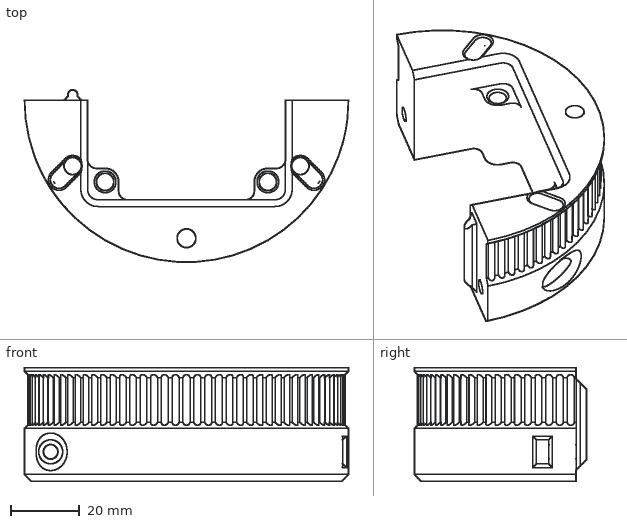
import cadquery as cq
import math

outer_radius = 47.0
height = 33.0

base_chamfer = 2.0
base_top = 15.3
lip_thickness = 1.1
groove_depth = 1.8
root_radius = outer_radius - groove_depth

tooth_count = 90
tooth_radius = 1.0
tooth_projection = 0.8
tooth_pitch = 360 / tooth_count

channel_half_width = 28.7
channel_floor_y = -28.9
channel_corner_radius = 3.0
channel_chamfer = 2.0

tab_x = 23.6
tab_y = -23.7
tab_top = 23.0
tab_radius = 3.95
tab_hole_diameter = 5.0
tab_hole_chamfer = 0.7
tab_fillet = 2.5
tab_overlap = 1.9

web_hole_diameter = 5.4
web_hole_y = -40.0

slot_width = 5.0
slot_inner_x = 33.0
slot_inner_y = -19.1
slot_run = 5.6
slot_drop = slot_run
slot_chamfer = 0.6

screw_x = 39.4
screw_z = 8.6
screw_diameter = 4.1
screw_head_diameter = 7.0
screw_head_floor_y = -13.2
screw_head_chamfer = 2.0
nut_y = -9.8
nut_thickness = 3.7
nut_width = 7.05
nut_chamfer = 1.0

ridge_x = -slot_inner_x
ridge_tip_y = 3.0
ridge_tip_radius = 1.4
ridge_flare = 1.1
ridge_base_bottom = 3.3
ridge_base_top = 29.7
ridge_end_slope = ridge_tip_y


def pulley_body():
    """Half of a toothed disc, trimmed flat at the split face."""
    lip_bottom = height - lip_thickness
    profile = [
        (0, 0),
        (outer_radius - base_chamfer, 0),
        (outer_radius, base_chamfer),
        (outer_radius, base_top),
        (root_radius, base_top + groove_depth),
        (root_radius, lip_bottom - groove_depth),
        (outer_radius, lip_bottom),
        (outer_radius, height),
        (0, height),
    ]
    disc = cq.Workplane("XZ").polyline(profile).close().revolve(360, (0, 0, 0), (0, 1, 0))
    first_tooth = 180 + tooth_pitch / 2
    last_tooth = 360 - tooth_pitch / 2
    tooth_axis_radius = root_radius + tooth_projection - tooth_radius
    teeth = (
        cq.Workplane("XY", origin=(0, 0, base_top))
        .polarArray(tooth_axis_radius, first_tooth, last_tooth - first_tooth, tooth_count // 2)
        .circle(tooth_radius)
        .extrude(lip_bottom - base_top)
    )
    kept_half = (
        cq.Workplane("XY")
        .box(2 * outer_radius, outer_radius, height, centered=(True, False, False))
        .translate((0, -outer_radius, 0))
    )
    return disc.union(teeth).intersect(kept_half)


def channel():
    """Rounded rectangular prism that flares at 45 degrees to form the top chamfer."""
    outline = (
        cq.Sketch()
        .rect(2 * channel_half_width, -2 * channel_floor_y)
        .vertices()
        .fillet(channel_corner_radius)
    )
    prism = cq.Workplane("XY").placeSketch(outline).extrude(height)
    flare = (
        cq.Workplane("XY", origin=(0, 0, height - channel_chamfer))
        .placeSketch(outline)
        .extrude(channel_chamfer, taper=-45)
    )
    return prism.union(flare)


def screw_tab():
    """Tab in the right-hand channel corner, blended into both walls, with its screw hole."""
    inner_x = tab_x - tab_radius
    outer_y = tab_y + tab_radius
    wall_x = channel_half_width
    buried_x = wall_x + tab_overlap
    buried_y = channel_floor_y - tab_overlap
    tab = (
        cq.Workplane("XY")
        .moveTo(wall_x, outer_y + tab_fillet)
        .radiusArc((wall_x - tab_fillet, outer_y), tab_fillet)
        .lineTo(tab_x, outer_y)
        .radiusArc((inner_x, tab_y), -tab_radius)
        .lineTo(inner_x, channel_floor_y + tab_fillet)
        .radiusArc((inner_x - tab_fillet, channel_floor_y), tab_fillet)
        .lineTo(inner_x - tab_fillet, buried_y)
        .lineTo(buried_x, buried_y)
        .lineTo(buried_x, outer_y + tab_fillet)
        .close()
        .extrude(tab_top)
    )
    mouth_diameter = tab_hole_diameter + 2 * tab_hole_chamfer
    chamfer_angle = 90
    top = tab.faces(">Z").workplane(origin=(tab_x, tab_y, tab_top))
    return top.cskHole(tab_hole_diameter, mouth_diameter, chamfer_angle)


def sloped_slot():
    """Cutter for a right-hand slot, built along +X from its vertical hole and then turned."""
    radius = slot_width / 2
    rim_z = height - slot_chamfer
    hole = cq.Workplane("XY").circle(radius).extrude(height)
    slope = [(0, rim_z - slot_drop), (slot_run, rim_z), (slot_run, height), (0, height)]
    upright = cq.Workplane("XZ").polyline(slope).close().extrude(radius, both=True)
    ramp_plane = cq.Plane(
        origin=(slot_run, 0, rim_z), xDir=(0, 1, 0), normal=(-slot_run, 0, -slot_drop)
    )
    ramp = cq.Workplane(ramp_plane).circle(radius).extrude(math.hypot(slot_run, slot_drop))
    outer_end = cq.Workplane("XY").sphere(radius).translate((slot_run, 0, rim_z))
    rim = (
        cq.Workplane("XY", origin=(slot_run / 2, 0, rim_z))
        .slot2D(slot_run + slot_width, slot_width)
        .extrude(slot_chamfer, taper=-45)
    )
    cutter = hole.union(upright).union(ramp).union(outer_end).union(rim)
    return cutter.rotate((0, 0, 0), (0, 0, 1), -45).translate((slot_inner_x, slot_inner_y, 0))


def locating_ridge():
    """Round-nosed ridge with flared flanks and sloping ends."""
    nose_y = ridge_tip_y - ridge_tip_radius
    base_half_width = ridge_tip_radius + ridge_flare
    section = (
        cq.Workplane("XY")
        .moveTo(-base_half_width, 0)
        .lineTo(-ridge_tip_radius, ridge_flare)
        .lineTo(-ridge_tip_radius, nose_y)
        .threePointArc((0, ridge_tip_y), (ridge_tip_radius, nose_y))
        .lineTo(ridge_tip_radius, ridge_flare)
        .lineTo(base_half_width, 0)
        .close()
        .extrude(height)
    )
    side = [
        (0, ridge_base_bottom),
        (ridge_tip_y, ridge_base_bottom + ridge_end_slope),
        (ridge_tip_y, ridge_base_top - ridge_end_slope),
        (0, ridge_base_top),
    ]
    envelope = cq.Workplane("YZ").polyline(side).close().extrude(base_half_width, both=True)
    return section.intersect(envelope).translate((ridge_x, 0, 0))


def screw_hole(x, diameter, start_y, end_y):
    """Cylinder along Y at the height of the clamp screws."""
    plane = cq.Plane(origin=(x, start_y, screw_z), xDir=(1, 0, 0), normal=(0, 1, 0))
    return cq.Workplane(plane).circle(diameter / 2).extrude(end_y - start_y)


def add_screw_seat(body):
    """Clamp screw hole on the left, with a chamfered counterbore open to the rim."""
    head = screw_hole(-screw_x, screw_head_diameter, -outer_radius, screw_head_floor_y)
    rim_y = -math.sqrt(outer_radius ** 2 - screw_x ** 2)
    mouth = cq.NearestToPointSelector((-screw_x, rim_y, screw_z))
    seated = body.cut(head).edges(mouth).chamfer(screw_head_chamfer)
    return seated.cut(screw_hole(-screw_x, screw_diameter, screw_head_floor_y, 0))


def add_nut_pocket(body):
    """Nut pocket on the right, open to the rim, that meets a screw hole from the split face."""
    floor_x = screw_x - nut_width / 2
    pocket = (
        cq.Workplane("XY")
        .box(outer_radius, nut_thickness, nut_width, centered=(False, True, True))
        .translate((floor_x, nut_y, screw_z))
    )
    mouth = cq.selectors.BoxSelector(
        (screw_x + nut_width / 2, nut_y - nut_thickness, screw_z - nut_width),
        (outer_radius, nut_y + nut_thickness, screw_z + nut_width),
    )
    pocketed = body.cut(pocket).edges(mouth).chamfer(nut_chamfer)
    return pocketed.cut(screw_hole(screw_x, screw_diameter, nut_y, 0))


right_tab = screw_tab()
right_slot = sloped_slot()
web_hole = cq.Workplane("XY").center(0, web_hole_y).circle(web_hole_diameter / 2).extrude(height)

body = pulley_body().cut(channel())
body = add_screw_seat(body)
body = add_nut_pocket(body)
body = body.union(right_tab).union(right_tab.mirror("YZ"))
body = body.cut(right_slot).cut(right_slot.mirror("YZ"))
body = body.cut(web_hole)
result = body.union(locating_ridge())